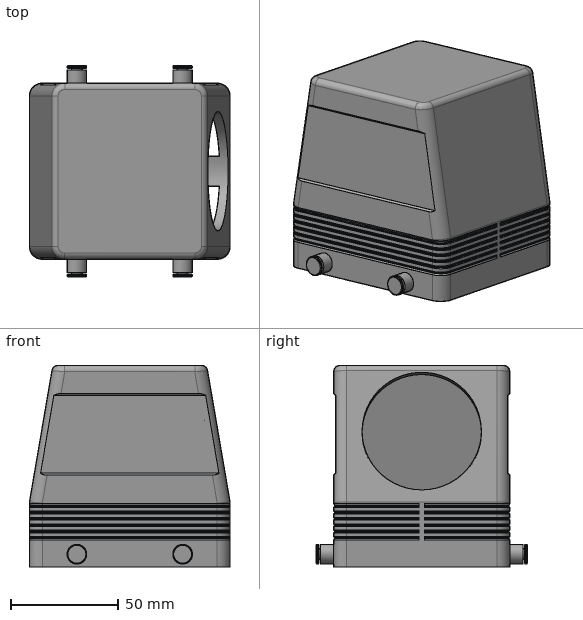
import cadquery as cq
import math

base_length = 93.5
body_width = 82.05
height = 94.0
taper_start = 30.3
taper_angle = 9.7
corner_radius = 6.0
top_fillet = 3.0

wall = 4.5
roof = 3.5
cavity_taper_start = 33.5
cavity_taper_angle = 12.0
cavity_corner_radius = 2.0

entry_diameter = 55.6
entry_height = 63.3
entry_depth = 29.55
rib_width = 14.0
rib_inner_x = 34.5

panel_depth = 0.9
panel_bottom = 42.8
panel_top = 80.9

groove_depth = 0.4
groove_zone_bottom = 12.6
groove_zone_top = 29.55
ridge_count = 5
ridge_height = 1.7
ridge_pitch = 3.0
first_ridge_bottom = 14.3
end_flank = 2 * groove_depth
bridge_width = 2.6

peg_spacing = 49.25
peg_height = 6.0
peg_diameter = 9.2
peg_tip = 49.25
head_thickness = 1.4
head_chamfer = 0.4
neck_diameter = 5.1
neck_length = 0.7

half_length = base_length / 2
half_width = body_width / 2
slope = math.tan(math.radians(taper_angle))


def tapered_block(bottom_half_length, width, block_height, bend_height, angle, radius):
    """Block with upright lower walls, end walls leaning in above the bend, and rounded corners."""
    top_half_length = bottom_half_length - (block_height - bend_height) * math.tan(math.radians(angle))
    block = (
        cq.Workplane("XZ")
        .polyline([
            (-bottom_half_length, 0),
            (bottom_half_length, 0),
            (bottom_half_length, bend_height),
            (top_half_length, block_height),
            (-top_half_length, block_height),
            (-bottom_half_length, bend_height),
        ])
        .close()
        .extrude(width / 2, both=True)
    )
    return block.edges("(not #Z) and (not |Y) and (not |X)").fillet(radius)


def cable_entry():
    """Cylinder square to the sloping +X wall, reaching from outside into the cavity."""
    angle = math.radians(taper_angle)
    outward = cq.Vector(math.cos(angle), 0, math.sin(angle))
    wall_x = half_length - (entry_height - taper_start) * slope
    wall_point = cq.Vector(wall_x, 0, entry_height)
    start = wall_point + outward * wall
    return cq.Workplane(cq.Solid.makeCylinder(
        entry_diameter / 2, entry_depth + wall, start, outward * -1))


def entry_rib():
    """Upright rib inside the +X wall, ending in the cable entry."""
    outer_x = half_length - wall / 2
    rib = cq.Workplane("XY").box(
        outer_x - rib_inner_x, rib_width, entry_height, centered=(False, True, False))
    return rib.translate((rib_inner_x, 0, 0))


def side_panel(side):
    """Cutter for the recessed panel on one side (-1 or +1), with 45 degree top and bottom edges."""
    floor_y = side * (half_width - panel_depth)
    return (
        cq.Workplane("YZ")
        .polyline([
            (side * half_width, panel_bottom),
            (floor_y, panel_bottom + panel_depth),
            (floor_y, panel_top - panel_depth),
            (side * half_width, panel_top),
        ])
        .close()
        .extrude(half_length, both=True)
    )


def ring_cutter(bottom, top, bottom_flank, top_flank):
    """Groove around the body between two heights, with flanks of the given heights."""

    def section(z, inset):
        return (
            cq.Sketch()
            .rect(base_length - 2 * inset, body_width - 2 * inset)
            .vertices()
            .fillet(corner_radius - inset)
            .moved(cq.Location(cq.Vector(0, 0, z)))
        )

    levels = [
        (bottom, 0),
        (bottom + bottom_flank, groove_depth),
        (top - top_flank, groove_depth),
        (top, 0),
    ]
    cutter = cq.Workplane("XY").workplane(offset=bottom).rect(
        base_length + 2 * wall, body_width + 2 * wall).extrude(top - bottom)
    for (low, low_inset), (high, high_inset) in zip(levels, levels[1:]):
        core = cq.Workplane("XY").placeSketch(section(low, low_inset), section(high, high_inset)).loft()
        cutter = cutter.cut(core)
    bridge = cq.Workplane("XY").box(2 * base_length, bridge_width, 2 * height)
    return cutter.cut(bridge)


def grooves():
    """All groove cutters between the ridges and the ends of the grooved zone."""
    cutters = []
    bottom = groove_zone_bottom
    bottom_flank = end_flank
    for index in range(ridge_count):
        ridge_bottom = first_ridge_bottom + index * ridge_pitch
        cutters.append(ring_cutter(bottom, ridge_bottom, bottom_flank, groove_depth))
        bottom = ridge_bottom + ridge_height
        bottom_flank = groove_depth
    cutters.append(ring_cutter(bottom, groove_zone_top, groove_depth, end_flank))
    return cutters


def peg(x, side):
    """Peg with a necked, chamfered head, pointing to side -1 or +1 along Y."""
    root = half_width - wall / 2
    head_base = peg_tip - head_thickness
    neck_base = head_base - neck_length
    radius = peg_diameter / 2
    shank = cq.Workplane("XY").workplane(offset=root).circle(radius).extrude(neck_base - root)
    neck = cq.Workplane("XY").workplane(offset=neck_base).circle(neck_diameter / 2).extrude(neck_length)
    head = (
        cq.Workplane("XY").workplane(offset=head_base)
        .circle(radius).extrude(head_thickness)
        .edges().chamfer(head_chamfer)
    )
    upright = shank.union(neck).union(head)
    return upright.rotate((0, 0, 0), (1, 0, 0), -90 * side).translate((x, 0, peg_height))


hood = tapered_block(half_length, body_width, height, taper_start, taper_angle, corner_radius)
hood = hood.faces(">Z").edges().fillet(top_fillet)
hood = hood.cut(tapered_block(
    half_length - wall, body_width - 2 * wall, height - roof,
    cavity_taper_start, cavity_taper_angle, cavity_corner_radius))
hood = hood.union(entry_rib()).cut(cable_entry())

for side in (-1, 1):
    hood = hood.cut(side_panel(side))

for cutter in grooves():
    hood = hood.cut(cutter)

for side in (-1, 1):
    for x in (-peg_spacing / 2, peg_spacing / 2):
        hood = hood.union(peg(x, side))

result = hood